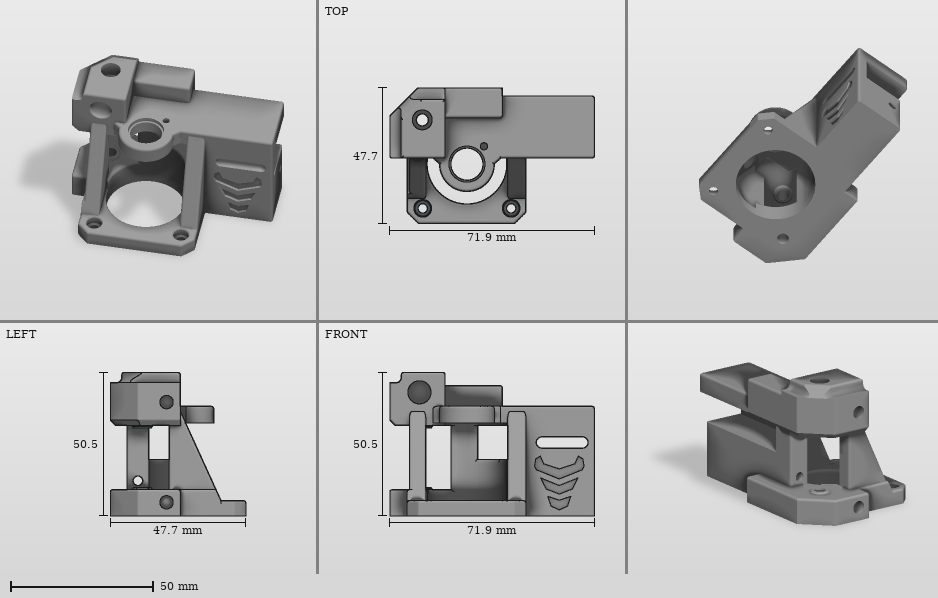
import cadquery as cq
import math

length = 71.9
depth = 47.7
height = 50.5
edge_round = 0.9

plate_top = 5.5
base_top = 9.35
shelf_top = 20.0
roof_bottom = 31.85
ring_bottom = 32.7
roof_top = 38.6
rear_block_top = 45.9

front_face = 23.0
front_wall_back = 27.0
column_back = 41.85
roof_back = 44.9
rear_block_front = 37.2

cap_end = 19.5
rear_block_end = 39.55
column_left = 21.4
column_right = 30.9
corner_cut = 9.8

plate_left = 6.1
plate_right = 47.8
plate_corner_cut = 4.0
shaft_x = (plate_left + plate_right) / 2 + 0.15
shaft_y = 20.9
bore_diameter = 28.0
screw_spacing = 31.05
screw_y = shaft_y - screw_spacing / 2
screw_diameter = 3.2
screw_head_diameter = 5.5
screw_head_depth = 2.9
screw_head_chamfer = 0.35

ring_radius = 9.6
neck_width = 23.7
neck_root_y = 21.1
shaft_hole_diameter = 11.2
bearing_diameter = 12.65
bearing_depth = 1.45
pin_diameter = 2.5
pin_x = 33.1
pin_y = 27.2
pin_depth = 3.6

rib_toe_y = 8.8
rib_top = 36.75
left_rib_start = 6.9
left_rib_end = 12.65
right_rib_start = 41.4

idler_x = 11.4
idler_y = 36.45
idler_diameter = 4.2
idler_head_diameter = 7.0
idler_head_depth = 5.75
washer_diameter = 7.1
washer_chamfer = 0.5
lower_washer_height = 0.65
upper_washer_height = 0.9
washer_overlap = 0.7

cap_bottom_chamfer = 1.9
step_width = 4.0
step_level = 46.9
step_round = 1.9
slant_run = 4.2

rod_diameter = 4.7
rod_depth = 5.75
rod_y = 27.9
rod_levels = (4.9, 40.05)
access_diameter = 8.1
access_depth = 8.6
access_x = 10.4
access_z = 43.5
cross_diameter = 3.3
cross_y = 37.95
cross_z = 12.45

slot_length = 18.1
slot_width = 3.9
slot_x = 60.55
slot_z = 25.9
chevron_x = 59.5
chevron_depth = 1.0
chevrons = [
    [(0, 16.6), (-5.5, 18.4), (-6.7, 21.1), (-8.3, 20.1), (-8.7, 17.55), (-8.0, 16.25), (0, 13.1)],
    [(0, 10.8), (-6.55, 13.45), (-4.6, 9.55), (0, 7.8)],
    [(0, 5.6), (-4.0, 7.0), (-2.9, 3.5), (0, 2.2)],
]


def block(x_range, y_range, z_range):
    """Box between the given limits."""
    (x0, x1), (y0, y1), (z0, z1) = x_range, y_range, z_range
    return cq.Workplane("XY").box(x1 - x0, y1 - y0, z1 - z0, centered=False).translate((x0, y0, z0))


def cylinder_z(x, y, diameter, z0, z1):
    """Upright cylinder between two levels."""
    return cq.Workplane("XY", origin=(x, y, z0)).circle(diameter / 2).extrude(z1 - z0)


def cylinder_x(y, z, diameter, x0, x1):
    """Cylinder lying along X."""
    return cq.Workplane("YZ", origin=(x0, y, z)).circle(diameter / 2).extrude(x1 - x0)


def extrude_y(sketch_points, y0, y1):
    """Prism along Y from (x, z) points."""
    return cq.Workplane("XZ", origin=(0, y0, 0)).polyline(sketch_points).close().extrude(y0 - y1)


def cut_corner_block(x_end, z0, z1):
    """Block from the left end whose back left corner is cut at 45 degrees."""
    points = [
        (0, front_face),
        (x_end, front_face),
        (x_end, depth),
        (corner_cut, depth),
        (0, depth - corner_cut),
    ]
    return cq.Workplane("XY", origin=(0, 0, z0)).polyline(points).close().extrude(z1 - z0)


motor_bore = cylinder_z(shaft_x, shaft_y, bore_diameter, 0, ring_bottom)


def make_motor_plate():
    plate = block((plate_left, plate_right), (0, front_face + 2 * edge_round), (0, plate_top))
    plate = plate.edges("|Z and <Y").chamfer(plate_corner_cut)
    plate = plate.edges("|Z and (not >Y)").fillet(edge_round)
    plate = plate.cut(motor_bore)
    return plate.faces(">Z").edges("not >Y").fillet(edge_round)


def make_base():
    base = cut_corner_block(rear_block_end, 0, base_top)
    base = base.edges("|Z and <X").fillet(edge_round)
    base = base.cut(motor_bore)
    return base.faces(">Z").edges("not >X").fillet(edge_round)


def make_column():
    column = block((column_left, column_right), (front_face, column_back), (0, ring_bottom))
    column = column.cut(motor_bore)
    return column.edges("|Z").fillet(edge_round)


def make_shelf():
    shelf = block((shaft_x, length), (front_face, column_back), (0, shelf_top))
    shelf = shelf.cut(motor_bore)
    shelf = shelf.faces(">Z").edges("%CIRCLE").fillet(edge_round)
    return shelf.edges("|Z and >X").fillet(edge_round)


def make_front_wall():
    wall = block((right_rib_start, length), (front_face, front_wall_back), (0, roof_bottom))
    return wall.edges("|Z and >X").fillet(edge_round)


def rib_profile(x0, x1, top):
    """Sloped web that follows the rib line up to the given level."""
    slope = (rib_top - plate_top) / (front_face - rib_toe_y)
    points = [
        (rib_toe_y, 0),
        (rib_toe_y, plate_top),
        (rib_toe_y + (top - plate_top) / slope, top),
        (front_wall_back, top),
        (front_wall_back, 0),
    ]
    return cq.Workplane("YZ", origin=(x0, 0, 0)).polyline(points).close().extrude(x1 - x0)


def make_ribs():
    left = rib_profile(left_rib_start, left_rib_end, rib_top)
    right = rib_profile(right_rib_start, plate_right, rib_top)
    slope_edges = "(not |X) and (not |Y) and (not |Z)"
    left = left.edges(slope_edges).fillet(edge_round)
    left = left.edges("|Z and <X and >Y").fillet(edge_round)
    right = right.edges(slope_edges).fillet(edge_round)
    step = rib_profile(plate_left, left_rib_end - edge_round, base_top)
    step = step.edges("|Y and <X and >Z").fillet(edge_round)
    return left.union(right).union(step)


def make_roof():
    neck_half = neck_width / 2
    ring_half = math.sqrt(ring_radius**2 - (neck_root_y - shaft_y) ** 2)
    outline = (
        cq.Workplane("XY", origin=(0, 0, roof_bottom))
        .moveTo(idler_x, front_face)
        .lineTo(shaft_x - neck_half, front_face)
        .lineTo(shaft_x - ring_half, neck_root_y)
        .threePointArc((shaft_x, shaft_y - ring_radius), (shaft_x + ring_half, neck_root_y))
        .lineTo(shaft_x + neck_half, front_face)
        .lineTo(length, front_face)
        .lineTo(length, roof_back)
        .lineTo(idler_x, roof_back)
        .close()
    )
    roof = outline.extrude(roof_top - roof_bottom)
    roof = roof.edges("|Z and >X").fillet(edge_round)
    return roof.faces(">Z").edges("not <X").fillet(edge_round).cut(motor_bore)


def make_rear_block():
    rear = block((idler_x, rear_block_end), (rear_block_front, depth), (roof_bottom, rear_block_top))
    rear = rear.edges("|X and >Y and <Z").chamfer(cap_bottom_chamfer)
    rear = rear.edges("|Z and >X").fillet(edge_round)
    return rear.faces(">Z").edges("not <X").fillet(edge_round)


def make_cap_steps():
    """Material removed along the left and back top edges of the cap, with a rounded inner corner."""
    step_top = 2 * height
    left_step = block((-step_width, step_width), (0, 2 * depth), (step_level, step_top))
    left_step = left_step.edges("|Y and >X and <Z").fillet(step_round)
    step_back = depth - step_width
    back_step = block((-length, length), (step_back, 2 * depth), (step_level, step_top))
    back_step = back_step.edges("|X and <Y and <Z").fillet(step_round)
    return left_step.union(back_step)


def make_cap_slant():
    """Wedge removed above the cut corner, falling outward from the top face to the step level."""
    diagonal = math.sqrt(0.5)
    corner_plane = cq.Plane(
        origin=(corner_cut / 2, depth - corner_cut / 2, 0),
        xDir=(diagonal, -diagonal, 0),
        normal=(-diagonal, -diagonal, 0),
    )
    points = [
        (0, step_level),
        (slant_run, height),
        (slant_run, 2 * height),
        (-slant_run, 2 * height),
        (-slant_run, step_level),
    ]
    return cq.Workplane(corner_plane).polyline(points).close().extrude(corner_cut, both=True)


def make_cap():
    cap = cut_corner_block(cap_end, roof_bottom, height)
    cap = cap.faces("<Z").edges("<X or >Y or (not (|X or |Y))").chamfer(cap_bottom_chamfer)
    cap = cap.edges("|Z").fillet(edge_round)
    front_slope = cq.selectors.BoxSelector(
        (-0.7, front_face - 0.7, roof_bottom),
        (cap_bottom_chamfer, front_face + 0.7, roof_bottom + cap_bottom_chamfer),
    )
    cap = cap.edges(front_slope).edges("not |Y").fillet(edge_round)
    cap = cap.cut(make_cap_steps()).cut(make_cap_slant())
    return cap.faces(">Z").edges().fillet(edge_round)


def make_washers():
    """Raised bearing faces of the idler, on the base and under the cap."""
    lower_top = base_top + lower_washer_height
    lower = cylinder_z(idler_x, idler_y, washer_diameter, base_top - washer_overlap, lower_top)
    lower = lower.faces(">Z").chamfer(washer_chamfer)
    upper_end = roof_bottom - upper_washer_height
    upper = cylinder_z(idler_x, idler_y, washer_diameter, upper_end, roof_bottom + washer_overlap)
    upper = upper.faces("<Z").chamfer(washer_chamfer)
    return lower, upper


def counterbore(x, y, diameter, head_diameter, head_depth, top):
    """Through hole with a wider head recess below the given level."""
    hole = cylinder_z(x, y, diameter, 0, top)
    return hole.union(cylinder_z(x, y, head_diameter, top - head_depth, top))


def chevron(left_half):
    """Recess in the front face, mirrored about the chevron centre line."""
    right_half = [(-offset, level) for offset, level in reversed(left_half[1:-1])]
    points = [(chevron_x + offset, level) for offset, level in left_half + right_half]
    return extrude_y(points, front_face, front_face + chevron_depth)


def make_holes():
    holes = [
        counterbore(idler_x, idler_y, idler_diameter, idler_head_diameter, idler_head_depth, height),
        cylinder_z(pin_x, pin_y, pin_diameter, roof_top - pin_depth, roof_top),
        cylinder_x(cross_y, cross_z, cross_diameter, 0, length),
    ]
    for side in (-1, 1):
        x = shaft_x + side * screw_spacing / 2
        holes.append(counterbore(x, screw_y, screw_diameter, screw_head_diameter, screw_head_depth, plate_top))
        countersink = cylinder_z(
            x, screw_y, screw_head_diameter + 2 * screw_head_chamfer, plate_top - screw_head_chamfer, plate_top
        )
        holes.append(countersink.faces("<Z").chamfer(screw_head_chamfer * 0.99))
    for z in rod_levels:
        holes.append(cylinder_x(rod_y, z, rod_diameter, 0, rod_depth))
    access = cq.Workplane("XZ", origin=(access_x, front_face, access_z)).circle(access_diameter / 2)
    holes.append(access.extrude(-access_depth))
    slot = cq.Workplane("XZ", origin=(slot_x, front_face, slot_z)).slot2D(slot_length, slot_width)
    holes.append(slot.extrude(-(front_wall_back - front_face)))
    holes.append(cylinder_z(shaft_x, shaft_y, shaft_hole_diameter, ring_bottom, roof_top))
    holes.append(cylinder_z(shaft_x, shaft_y, bearing_diameter, roof_top - bearing_depth, roof_top))
    return holes + [chevron(left_half) for left_half in chevrons]


result = make_base()
for part in (
    make_shelf(),
    make_column(),
    make_roof(),
    make_front_wall(),
    make_motor_plate(),
    make_ribs(),
    make_rear_block(),
    make_cap(),
    *make_washers(),
):
    result = result.union(part)
for hole in make_holes():
    result = result.cut(hole)